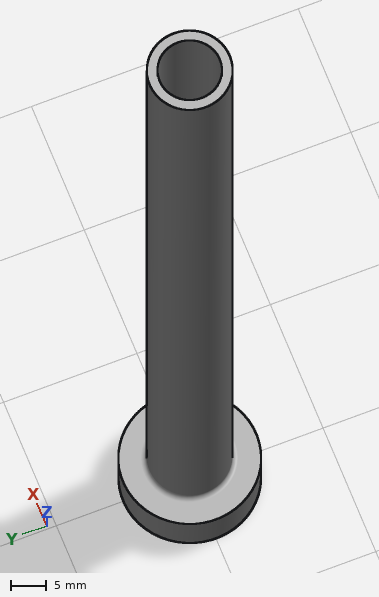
import cadquery as cq

total_length = 150.0
head_diameter = 20.0
head_thickness = 7.0
shank_diameter = 12.0
bore_diameter = 9.0
root_fillet = 0.8

head = cq.Workplane("XY").circle(head_diameter / 2).extrude(head_thickness)
shank = cq.Workplane("XY").circle(shank_diameter / 2).extrude(total_length)
sleeve = head.union(shank)

root_reach = shank_diameter / 2 + root_fillet
root_corner = cq.selectors.BoxSelector(
    (-root_reach, -root_reach, head_thickness - root_fillet),
    (root_reach, root_reach, head_thickness + root_fillet),
    boundingbox=True,
)
sleeve = sleeve.edges(root_corner).fillet(root_fillet)

bore = cq.Workplane("XY").circle(bore_diameter / 2).extrude(total_length)

result = sleeve.cut(bore)